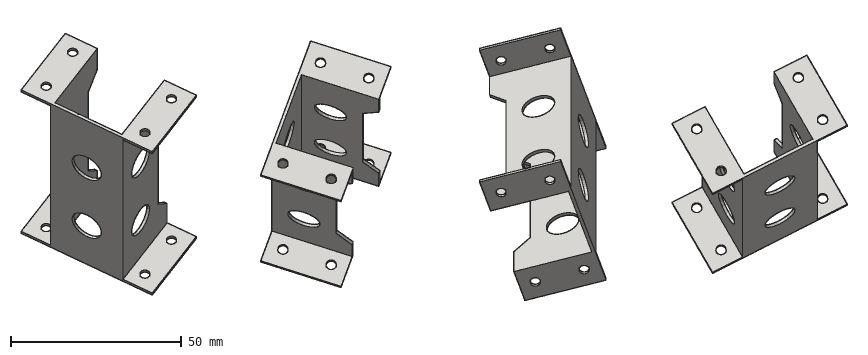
import cadquery as cq

height = 67.0
overall_width = 45.0
depth = 25.0
sheet = 1.0

channel_width = 25.0
inner_width = channel_width - 2 * sheet

window_diameter = 10.0
window_heights = (18.0, 45.0)
side_window_y = 10.0

mount_diameter = 3.0
mount_spacing_x = 33.9
mount_rows_y = (5.0, 20.0)

recess_depth = 5.0
recess_end_margin = 10.0


def make_box(width, length, tall, y=0.0, z=0.0):
    """Box centred on X, starting at the given Y and Z."""
    return (
        cq.Workplane("XY")
        .box(width, length, tall, centered=(True, False, False))
        .translate((0, y, z))
    )


def make_bracket_body():
    """Channel with outward flanges at its top and bottom ends."""
    body = make_box(channel_width, depth, height)
    for flange_z in (0.0, height - sheet):
        body = body.union(make_box(overall_width, depth, sheet, z=flange_z))
    return body.cut(make_box(inner_width, depth, height, y=sheet))


def make_back_recess():
    """Trapezoidal cutter across both side walls; its ends slope at 45 degrees."""
    floor_y = depth - recess_depth
    floor_margin = recess_end_margin + recess_depth
    return (
        cq.Workplane("YZ")
        .moveTo(depth, recess_end_margin)
        .lineTo(floor_y, floor_margin)
        .lineTo(floor_y, height - floor_margin)
        .lineTo(depth, height - recess_end_margin)
        .close()
        .extrude(channel_width / 2, both=True)
    )


def make_web_windows():
    points = [(0, z) for z in window_heights]
    return cq.Workplane("XZ").pushPoints(points).circle(window_diameter / 2).extrude(-sheet)


def make_side_windows():
    points = [(side_window_y, z) for z in window_heights]
    return (
        cq.Workplane("YZ")
        .pushPoints(points)
        .circle(window_diameter / 2)
        .extrude(channel_width / 2, both=True)
    )


def make_mount_holes():
    points = [(side * mount_spacing_x / 2, y) for side in (-1, 1) for y in mount_rows_y]
    return cq.Workplane("XY").pushPoints(points).circle(mount_diameter / 2).extrude(height)


result = (
    make_bracket_body()
    .cut(make_back_recess())
    .cut(make_web_windows())
    .cut(make_side_windows())
    .cut(make_mount_holes())
)